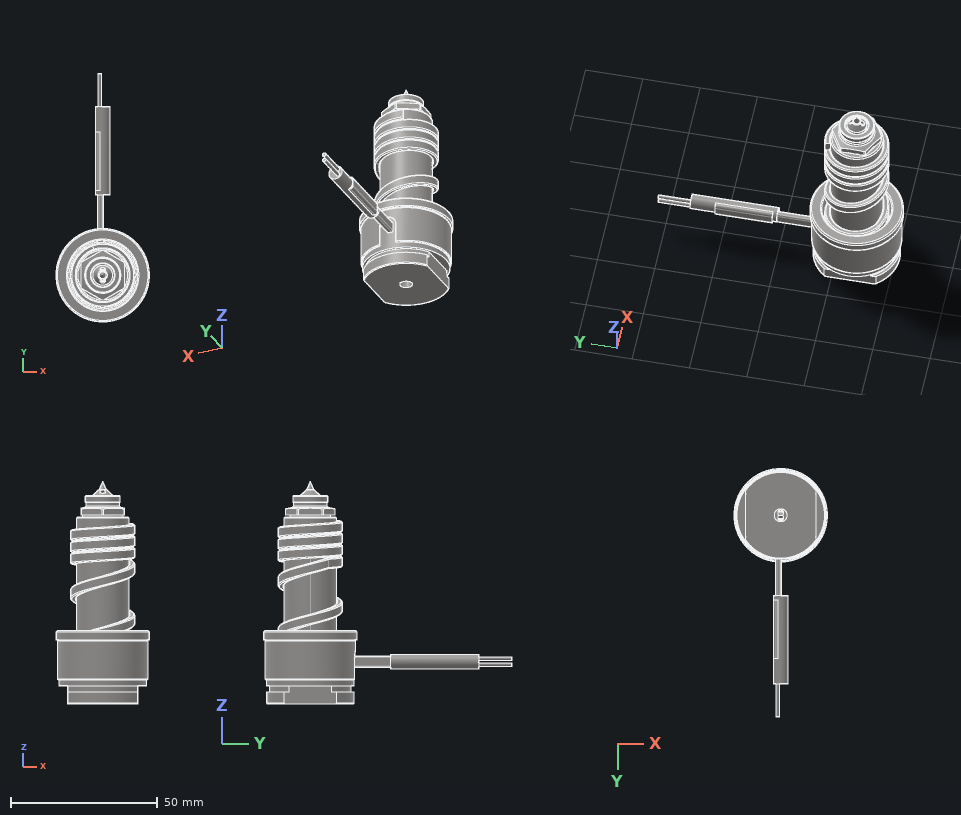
import cadquery as cq
import math

TIP_Z = 76.2
FLANGE_R, FLANGE_TOP_Z, FLANGE_BOTTOM_Z = 16.0, 25.2, 22.0
FLANGE_CHAMFER = 0.5
GROOVE_R, GROOVE_WIDTH = 15.2, 0.4
CUP_R, CUP_BOTTOM_Z, CUP_CHAMFER = 15.5, 8.3, 0.3
COLLAR_R, COLLAR_BOTTOM_Z = 15.0, 6.2
NECK_R, NECK_BOTTOM_Z = 14.0, 4.2
BASE_R, BASE_CHAMFER = 15.0, 0.3
BASE_FLAT = 12.0
CUP_BORE_R, CUP_BORE_CHAMFER, CUP_FLOOR_Z = 12.0, 0.4, 13.0
CUP_SEAT_R, CUP_SEAT_Z = 11.5, 15.0
SHAFT_R, SHAFT_TOP_Z, SHAFT_CHAMFER = 9.0, 64.1, 0.5

HEX_NECK_R = 7.0
HEX_ACROSS_FLATS = 15.0
HEX_HALF_ANGLE = 30.0
HEX_CORNER_R = 8.5
HEX_BOTTOM_Z, HEX_EDGE_Z, HEX_TOP_Z = 64.7, 66.8, 67.3
HEX_TOP_R = 6.2

HEAD_NECK_R, HEAD_NECK_Z = 5.75, 67.8
HEAD_R, HEAD_BOTTOM_Z, HEAD_TOP_Z = 6.0, 69.1, 71.3
HEAD_CHAMFER = 0.2
RING_OUTER_R, RING_INNER_R, RING_FLOOR_Z = 4.0, 3.4, 70.3
CONE_TOP_R, CONE_TOP_Z = 1.6, 73.2
SPIKE_R, SPIKE_Z = 1.2, 73.4

CHANNEL_R, CHANNEL_TOP_Z = 2.2, 71.3
OUTLET_R, OUTLET_AXIS_Z, OUTLET_LENGTH = 0.9, 70.7, 6.0
OUTLET_TILT = 45.0

COIL_OUTER_R, COIL_HEIGHT, COIL_CHAMFER = 11.0, 3.6, 0.4
COIL_OVERLAP = 0.1
COIL_END_ANGLE, COIL_END_Z = 109.0, 60.95
CLOSE_PITCH, OPEN_PITCH = 4.0, 17.5
TOP_SWEEP, OPEN_SWEEP, BOTTOM_SWEEP = 1154.0, 520.0, 720.0

CABLE_Z = 14.5
SLOT_WIDTH, SLOT_CENTER_Z = 6.0, 15.5
CABLE_X, CABLE_WIDTH, CABLE_HEIGHT, CABLE_FILLET = -0.8, 2.1, 3.9, 0.5
CABLE_START_Y = 11.2
SLEEVE_R, SLEEVE_START_Y, SLEEVE_END_Y = 2.5, 27.5, 57.7
LABEL_START_Y, LABEL_LENGTH = 29.0, 20.0
LABEL_FACE_X, LABEL_HEIGHT, LABEL_FILLET = -2.55, 4.7, 0.95
WIRE_X, WIRE_R, WIRE_SPACING, WIRE_END_Y = -1.0, 0.65, 2.05, 69.0


def revolved(points):
    """Solid of revolution about Z from (radius, height) points."""
    return cq.Workplane("XZ").polyline(points).close().revolve(360, (0, 0, 0), (0, 1, 0))


def cylinder_y(radius, start_y, end_y, x, z):
    """Cylinder along +Y."""
    plane = cq.Plane(origin=(x, start_y, z), xDir=(1, 0, 0), normal=(0, 1, 0))
    return cq.Workplane(plane).circle(radius).extrude(end_y - start_y)


def make_base():
    """Flanged cup with a stepped bore and a stepped, chamfered foot that has two flats."""
    cup = revolved([
        (0, COLLAR_BOTTOM_Z),
        (COLLAR_R, COLLAR_BOTTOM_Z),
        (COLLAR_R, CUP_BOTTOM_Z),
        (CUP_R - CUP_CHAMFER, CUP_BOTTOM_Z),
        (CUP_R, CUP_BOTTOM_Z + CUP_CHAMFER),
        (CUP_R, FLANGE_BOTTOM_Z - GROOVE_WIDTH),
        (GROOVE_R, FLANGE_BOTTOM_Z - GROOVE_WIDTH),
        (GROOVE_R, FLANGE_BOTTOM_Z),
        (FLANGE_R, FLANGE_BOTTOM_Z),
        (FLANGE_R, FLANGE_TOP_Z - FLANGE_CHAMFER),
        (FLANGE_R - FLANGE_CHAMFER, FLANGE_TOP_Z),
        (CUP_BORE_R + CUP_BORE_CHAMFER, FLANGE_TOP_Z),
        (CUP_BORE_R, FLANGE_TOP_Z - CUP_BORE_CHAMFER),
        (CUP_BORE_R, CUP_SEAT_Z),
        (CUP_SEAT_R, CUP_SEAT_Z),
        (CUP_SEAT_R, CUP_FLOOR_Z),
        (0, CUP_FLOOR_Z),
    ])
    foot = revolved([
        (0, 0),
        (BASE_R - BASE_CHAMFER, 0),
        (BASE_R, BASE_CHAMFER),
        (BASE_R, NECK_BOTTOM_Z),
        (NECK_R, NECK_BOTTOM_Z),
        (NECK_R, COLLAR_BOTTOM_Z),
        (0, COLLAR_BOTTOM_Z),
    ])
    flats = cq.Workplane("XY").rect(2 * BASE_FLAT, 2 * FLANGE_R).extrude(COLLAR_BOTTOM_Z)
    return cup.union(foot.intersect(flats))


def cut_cable_slot(base):
    """Round-topped slot in the cup wall, open downward, where the cable enters."""
    half = SLOT_WIDTH / 2
    slot = (
        cq.Workplane("XZ")
        .moveTo(-half, CUP_BOTTOM_Z)
        .lineTo(half, CUP_BOTTOM_Z)
        .lineTo(half, SLOT_CENTER_Z)
        .threePointArc((0, SLOT_CENTER_Z + half), (-half, SLOT_CENTER_Z))
        .close()
        .extrude(-FLANGE_R)
    )
    core = cq.Workplane("XY").circle(COLLAR_R).extrude(FLANGE_TOP_Z)
    return base.cut(slot.cut(core))


def make_shaft():
    """Plain shaft standing on the cup floor, with a short neck under the hexagon."""
    return revolved([
        (0, CUP_FLOOR_Z),
        (SHAFT_R, CUP_FLOOR_Z),
        (SHAFT_R, SHAFT_TOP_Z - SHAFT_CHAMFER),
        (SHAFT_R - SHAFT_CHAMFER, SHAFT_TOP_Z),
        (HEX_NECK_R, SHAFT_TOP_Z),
        (HEX_NECK_R, HEX_BOTTOM_Z),
        (0, HEX_BOTTOM_Z),
    ])


def make_hexagon():
    """Hexagon with flats on +X and -X, corners turned down and a conical top."""
    corner_diameter = HEX_ACROSS_FLATS / math.cos(math.radians(HEX_HALF_ANGLE))
    prism = (
        cq.Workplane("XY", origin=(0, 0, HEX_BOTTOM_Z))
        .transformed(rotate=(0, 0, HEX_HALF_ANGLE))
        .polygon(6, corner_diameter)
        .extrude(HEX_TOP_Z - HEX_BOTTOM_Z)
    )
    turned = revolved([
        (0, HEX_BOTTOM_Z),
        (HEX_CORNER_R, HEX_BOTTOM_Z),
        (HEX_CORNER_R, HEX_EDGE_Z),
        (HEX_TOP_R, HEX_TOP_Z),
        (0, HEX_TOP_Z),
    ])
    return prism.intersect(turned)


def make_head():
    """Nozzle head: flared neck, rim, ring groove, 45 degree cone and pointed spike."""
    cone_edge_z = CONE_TOP_Z - (RING_INNER_R - CONE_TOP_R)
    return revolved([
        (0, HEX_TOP_Z),
        (HEX_TOP_R, HEX_TOP_Z),
        (HEAD_NECK_R, HEAD_NECK_Z),
        (HEAD_NECK_R, HEAD_BOTTOM_Z - HEAD_CHAMFER),
        (HEAD_R, HEAD_BOTTOM_Z),
        (HEAD_R, HEAD_TOP_Z - HEAD_CHAMFER),
        (HEAD_R - HEAD_CHAMFER, HEAD_TOP_Z),
        (RING_OUTER_R + HEAD_CHAMFER, HEAD_TOP_Z),
        (RING_OUTER_R, HEAD_TOP_Z - HEAD_CHAMFER),
        (RING_OUTER_R, RING_FLOOR_Z),
        (RING_INNER_R, RING_FLOOR_Z),
        (RING_INNER_R, cone_edge_z),
        (CONE_TOP_R, CONE_TOP_Z),
        (SPIKE_R, SPIKE_Z),
        (0, TIP_Z),
    ])


def make_channels():
    """Central melt channel and two outlets sloping up toward +Y and -Y."""
    channels = cq.Workplane("XY").circle(CHANNEL_R).extrude(CHANNEL_TOP_Z)
    for side in (1, -1):
        outlet = (
            cq.Workplane("XY")
            .circle(OUTLET_R)
            .extrude(OUTLET_LENGTH)
            .rotate((0, 0, 0), (1, 0, 0), -side * OUTLET_TILT)
            .translate((0, 0, OUTLET_AXIS_Z))
        )
        channels = channels.union(outlet)
    return channels


def make_coil_run(pitch, sweep_angle, top_angle, top_z):
    """Right-hand helical band that ends at the given top angle and height."""
    rise = pitch * sweep_angle / 360
    half = COIL_HEIGHT / 2
    inner = SHAFT_R - COIL_OVERLAP
    shoulder = half - COIL_CHAMFER
    section = [
        (inner, COIL_CHAMFER + COIL_OVERLAP - half),
        (SHAFT_R + COIL_CHAMFER, -half),
        (COIL_OUTER_R - COIL_CHAMFER, -half),
        (COIL_OUTER_R, -shoulder),
        (COIL_OUTER_R, shoulder),
        (COIL_OUTER_R - COIL_CHAMFER, half),
        (SHAFT_R + COIL_CHAMFER, half),
        (inner, half - COIL_CHAMFER - COIL_OVERLAP),
    ]
    path = cq.Wire.makeHelix(pitch, rise, SHAFT_R)
    band = cq.Workplane("XZ").polyline(section).close().sweep(cq.Workplane(path), isFrenet=True)
    start_angle = top_angle - sweep_angle
    return band.rotate((0, 0, 0), (0, 0, 1), start_angle).translate((0, 0, top_z - rise))


def make_coil():
    """Heater coil, built downward from its top end as three joined runs."""
    runs = [(CLOSE_PITCH, TOP_SWEEP), (OPEN_PITCH, OPEN_SWEEP), (CLOSE_PITCH, BOTTOM_SWEEP)]
    coil = cq.Workplane("XY")
    angle = COIL_END_ANGLE
    height = COIL_END_Z
    for pitch, sweep_angle in runs:
        coil = coil.add(make_coil_run(pitch, sweep_angle, angle, height))
        angle -= sweep_angle
        height -= pitch * sweep_angle / 360
    return coil.combine()


def make_cable():
    """Flat cable, round sleeve with a raised label block, and two bare wires."""
    cable_length = SLEEVE_START_Y - CABLE_START_Y
    cable = (
        cq.Workplane("XY")
        .box(CABLE_WIDTH, cable_length, CABLE_HEIGHT)
        .edges("|Y")
        .fillet(CABLE_FILLET)
        .translate((CABLE_X, CABLE_START_Y + cable_length / 2, CABLE_Z))
    )
    cable = cable.union(cylinder_y(SLEEVE_R, SLEEVE_START_Y, SLEEVE_END_Y, 0, CABLE_Z))
    label = (
        cq.Workplane("XY")
        .box(-LABEL_FACE_X, LABEL_LENGTH, LABEL_HEIGHT)
        .edges("|Y and <X")
        .fillet(LABEL_FILLET)
        .translate((LABEL_FACE_X / 2, LABEL_START_Y + LABEL_LENGTH / 2, CABLE_Z))
    )
    cable = cable.union(label)
    for side in (1, -1):
        wire_z = CABLE_Z + side * WIRE_SPACING / 2
        cable = cable.union(cylinder_y(WIRE_R, SLEEVE_END_Y, WIRE_END_Y, WIRE_X, wire_z))
    return cable


body = cut_cable_slot(make_base())
for piece in (make_shaft(), make_hexagon(), make_head(), make_cable()):
    body = body.union(piece)
result = body.cut(make_channels()).union(make_coil())